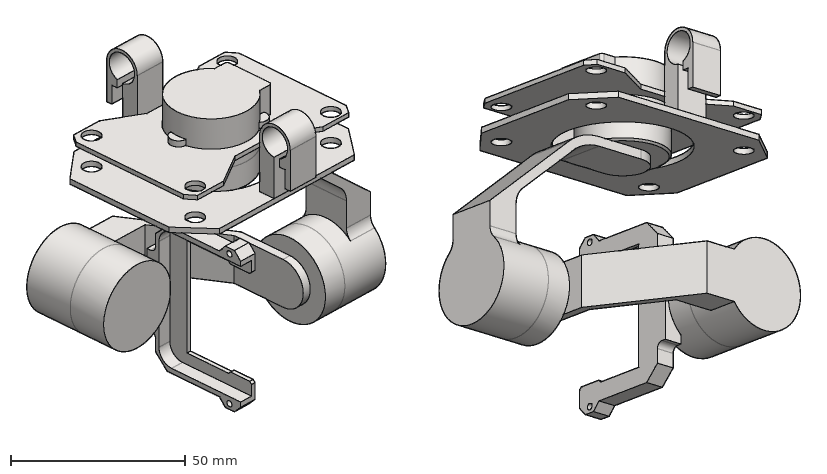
import cadquery as cq
import math


MOTOR_RADIUS = 28.0 / 2
ARM_HALF = 8.0
ARM_THICKNESS = 2.9
ARM_BLOCK = 10.1

YAW_BOTTOM = 51.3
YAW_TOP = 76.7
YAW_SPLIT = 59.8
YAW_EDGE_CHAMFER = 0.6
CONNECTOR_WIDTH = 17.7
CONNECTOR_REACH = 16.0
CONNECTOR_CORNER = 1.0
LUG_RADIUS = 3.0
LUG_HEIGHT = 2.1
LUG_CENTRE_RADIUS = 13.6
LUG_ANGLES = (45, 135, 270)

UPPER_PLATE_TOP = 66.6
UPPER_PLATE_THICKNESS = 1.5
LOWER_PLATE_TOP = 56.2
LOWER_PLATE_THICKNESS = 1.8
PLATE_HOLE_DIAMETER = 6.0
PLATE_HOLE_X = 20.4
PLATE_HOLE_Y = 28.3

UPPER_HALF_WIDTH = 24.4
UPPER_HALF_LENGTH = 34.0
UPPER_CORNER_X = 3.2
UPPER_CORNER_Y = 2.4
WAIST_HALF_WIDTH = 17.3
WAIST_HALF_LENGTH = 8.4
WAIST_ANGLE = 60
MOTOR_CLEARANCE_DIAMETER = 28.3

LOWER_HALF_WIDTH = 29.8
LOWER_HALF_LENGTH = 37.5
LOWER_CORNER_X = 11.1
LOWER_CORNER_Y = 9.3
LONG_CORNER_X = 9.5
LONG_CORNER_Y = 11.8
LOWER_BORE_DIAMETER = 41.0

CLIP_WIDTH = 10.7
CLIP_RADIUS = 6.1
CLIP_BORE_DIAMETER = 10.0
CLIP_AXIS_X = 30.2
CLIP_AXIS_Z = 75.1
CLIP_MOUTH = 2.2
HOOK_STEP_Z = 67.7
HOOK_TIP_Z = 61.3
HOOK_TIP_THICKNESS = 2.1

ROLL_BACK = 58.1
ROLL_FRONT = 32.9
ROLL_SPLIT = 41.0
YAW_ARM_KNEE_Z = 21.6
YAW_ARM_SLOPE = 40
YAW_ARM_TOP_BEND = 15.0
YAW_ARM_BLOCK_BEND = 7.0
YAW_ARM_FOOT_FILLET = 5.0

PITCH_AXIS_Y = -8.0
PITCH_OUTER = -52.0
PITCH_INNER = -21.6
PITCH_SPLIT = -34.8
ROLL_ARM_KNEE_Y = 14.0
ROLL_ARM_SLOPE = 30

CRADLE_BACK = 7.1
CRADLE_DEPTH = 6.1
CRADLE_WEB = 1.5
CRADLE_LEFT = -23.0
CRADLE_RIGHT = 10.6
CRADLE_HALF_HEIGHT = 24.4
CRADLE_CORNER = 4.7
EAR_HALF_HEIGHT = 27.0
EAR_FOOT_X = 2.2
EAR_TIP_START_X = 4.5
EAR_TIP_END_X = 8.1
EAR_HOLE_DIAMETER = 2.0
EAR_HOLE_X = 6.2
EAR_HOLE_Z = 25.1
RECESS_HALF_HEIGHT = 22.7
RECESS_CORNER = 5.0
OPENING_LEFT = -14.8
OPENING_HALF_HEIGHT = 18.8
PAD_HEIGHT = 0.8
PAD_LEFT = 1.5
BOSS_REACH = 3.4
BOSS_HALF_HEIGHT = 13.4
BOSS_FILLET = 2.0


def cylinder(plane, axis_point, radius, start, end):
    """Cylinder between two positions on the plane's normal, which for XZ points to -Y."""
    base = cq.Workplane(plane).workplane(offset=start)
    return base.center(*axis_point).circle(radius).extrude(end - start)


def slab(plane, points, start, end):
    """Closed outline extruded between two positions on the plane's normal."""
    return cq.Workplane(plane).workplane(offset=start).polyline(points).close().extrude(end - start)


def plate_holes(bottom, top):
    """Four corner holes shared by both plates, as solids to cut away."""
    centres = [(x, y) for x in (-PLATE_HOLE_X, PLATE_HOLE_X) for y in (-PLATE_HOLE_Y, PLATE_HOLE_Y)]
    base = cq.Workplane("XY").workplane(offset=bottom)
    return base.pushPoints(centres).circle(PLATE_HOLE_DIAMETER / 2).extrude(top - bottom)


def make_yaw_motor():
    bell = cylinder("XY", (0, 0), MOTOR_RADIUS, YAW_BOTTOM, YAW_SPLIT)
    bell = bell.faces("<Z").edges().chamfer(YAW_EDGE_CHAMFER)
    can = cylinder("XY", (0, 0), MOTOR_RADIUS, YAW_SPLIT, YAW_TOP)
    connector = (
        cq.Workplane("XY")
        .workplane(offset=UPPER_PLATE_TOP)
        .rect(CONNECTOR_WIDTH, 2 * CONNECTOR_REACH)
        .extrude(YAW_TOP - UPPER_PLATE_TOP)
        .edges("|Z")
        .fillet(CONNECTOR_CORNER)
    )
    back_half = cq.Workplane("XY").box(
        CONNECTOR_WIDTH, CONNECTOR_REACH, YAW_TOP, centered=(True, False, False)
    )
    can = can.union(connector.intersect(back_half))
    for angle in LUG_ANGLES:
        centre = (
            LUG_CENTRE_RADIUS * math.cos(math.radians(angle)),
            LUG_CENTRE_RADIUS * math.sin(math.radians(angle)),
        )
        can = can.union(cylinder("XY", centre, LUG_RADIUS, UPPER_PLATE_TOP, UPPER_PLATE_TOP + LUG_HEIGHT))
    return can.union(bell, clean=False)


def make_upper_plate():
    bottom = UPPER_PLATE_TOP - UPPER_PLATE_THICKNESS
    waist_depth = UPPER_HALF_WIDTH - WAIST_HALF_WIDTH
    shoulder = WAIST_HALF_LENGTH + waist_depth * math.tan(math.radians(WAIST_ANGLE))
    right_corner = [
        (WAIST_HALF_WIDTH, WAIST_HALF_LENGTH),
        (UPPER_HALF_WIDTH, shoulder),
        (UPPER_HALF_WIDTH, UPPER_HALF_LENGTH - UPPER_CORNER_Y),
        (UPPER_HALF_WIDTH - UPPER_CORNER_X, UPPER_HALF_LENGTH),
    ]
    right_side = [(x, -y) for x, y in reversed(right_corner)] + right_corner
    left_side = [(-x, y) for x, y in reversed(right_side)]
    plate = slab("XY", right_side + left_side, bottom, UPPER_PLATE_TOP)
    bore = cylinder("XY", (0, 0), MOTOR_CLEARANCE_DIAMETER / 2, bottom, UPPER_PLATE_TOP)
    return plate.cut(bore).cut(plate_holes(bottom, UPPER_PLATE_TOP))


def make_lower_plate():
    bottom = LOWER_PLATE_TOP - LOWER_PLATE_THICKNESS
    outline = [
        (LONG_CORNER_X - LOWER_HALF_WIDTH, -LOWER_HALF_LENGTH),
        (LOWER_HALF_WIDTH - LOWER_CORNER_X, -LOWER_HALF_LENGTH),
        (LOWER_HALF_WIDTH, LOWER_CORNER_Y - LOWER_HALF_LENGTH),
        (LOWER_HALF_WIDTH, LOWER_HALF_LENGTH - LOWER_CORNER_Y),
        (LOWER_HALF_WIDTH - LOWER_CORNER_X, LOWER_HALF_LENGTH),
        (LOWER_CORNER_X - LOWER_HALF_WIDTH, LOWER_HALF_LENGTH),
        (-LOWER_HALF_WIDTH, LOWER_HALF_LENGTH - LOWER_CORNER_Y),
        (-LOWER_HALF_WIDTH, LONG_CORNER_Y - LOWER_HALF_LENGTH),
    ]
    plate = slab("XY", outline, bottom, LOWER_PLATE_TOP)
    bore = cylinder("XY", (0, 0), LOWER_BORE_DIAMETER / 2, bottom, LOWER_PLATE_TOP)
    return plate.cut(bore).cut(plate_holes(bottom, LOWER_PLATE_TOP))


def make_clip(side):
    """Clip on the plate edge at +X (side = 1) or -X (side = -1), with its hook outward."""
    inner = CLIP_AXIS_X - CLIP_RADIUS
    outer = CLIP_AXIS_X + CLIP_RADIUS
    hook_inner = LOWER_HALF_WIDTH + CLIP_MOUTH
    tip_inner = outer - HOOK_TIP_THICKNESS
    profile = (
        cq.Workplane("XZ")
        .workplane(offset=-CLIP_WIDTH / 2)
        .moveTo(side * inner, LOWER_PLATE_TOP)
        .lineTo(side * inner, CLIP_AXIS_Z)
        .threePointArc((side * CLIP_AXIS_X, CLIP_AXIS_Z + CLIP_RADIUS), (side * outer, CLIP_AXIS_Z))
        .lineTo(side * outer, HOOK_TIP_Z)
        .lineTo(side * tip_inner, HOOK_TIP_Z)
        .lineTo(side * tip_inner, HOOK_STEP_Z)
        .lineTo(side * hook_inner, HOOK_STEP_Z)
        .lineTo(side * hook_inner, CLIP_AXIS_Z)
        .lineTo(side * LOWER_HALF_WIDTH, CLIP_AXIS_Z)
        .lineTo(side * LOWER_HALF_WIDTH, LOWER_PLATE_TOP)
        .close()
        .extrude(CLIP_WIDTH)
    )
    axis_point = (side * CLIP_AXIS_X, CLIP_AXIS_Z)
    bore = cylinder("XZ", axis_point, CLIP_BORE_DIAMETER / 2, -CLIP_WIDTH / 2, CLIP_WIDTH / 2)
    return profile.cut(bore)


def make_yaw_arm():
    """Bent strap from the yaw motor to the roll motor, in one piece with the roll motor."""
    slope = math.radians(YAW_ARM_SLOPE)
    block_front = ROLL_BACK - ARM_BLOCK
    strap_bottom = YAW_BOTTOM - ARM_THICKNESS
    outer_bend = (ROLL_BACK - (YAW_BOTTOM - YAW_ARM_KNEE_Z) / math.tan(slope), YAW_BOTTOM)
    inner_bend = (outer_bend[0] - ARM_THICKNESS * math.tan(slope / 2), strap_bottom)
    block_bend = (block_front, strap_bottom - (block_front - inner_bend[0]) * math.tan(slope))
    outline = [
        (0, YAW_BOTTOM),
        outer_bend,
        (ROLL_BACK, YAW_ARM_KNEE_Z),
        (ROLL_BACK, 0),
        (block_front, 0),
        block_bend,
        inner_bend,
        (0, strap_bottom),
    ]
    strap = slab("YZ", outline, -ARM_HALF, ARM_HALF)
    bends = [
        (outer_bend, YAW_ARM_TOP_BEND + ARM_THICKNESS),
        (inner_bend, YAW_ARM_TOP_BEND),
        (block_bend, YAW_ARM_BLOCK_BEND),
    ]
    for (y, z), radius in bends:
        strap = strap.edges(cq.selectors.NearestToPointSelector((0, y, z))).fillet(radius)
    round_end = cylinder("XY", (0, 0), ARM_HALF, strap_bottom, YAW_BOTTOM)

    fillet_x = ARM_HALF + YAW_ARM_FOOT_FILLET
    fillet_z = math.sqrt((MOTOR_RADIUS + YAW_ARM_FOOT_FILLET) ** 2 - fillet_x**2)
    tangent = MOTOR_RADIUS / (MOTOR_RADIUS + YAW_ARM_FOOT_FILLET)
    foot_outline = [
        (0, 0),
        (fillet_x * tangent, fillet_z * tangent),
        (fillet_x, fillet_z),
        (-fillet_x, fillet_z),
        (-fillet_x * tangent, fillet_z * tangent),
    ]
    foot = slab("XZ", foot_outline, -ROLL_BACK, -block_front)
    for side in (-1, 1):
        hollow = cylinder("XZ", (side * fillet_x, fillet_z), YAW_ARM_FOOT_FILLET, -ROLL_BACK, -block_front)
        foot = foot.cut(hollow)

    can = cylinder("XZ", (0, 0), MOTOR_RADIUS, -ROLL_BACK, -ROLL_SPLIT)
    bell = cylinder("XZ", (0, 0), MOTOR_RADIUS, -ROLL_SPLIT, -ROLL_FRONT)
    arm = strap.union(round_end).union(foot).union(can)
    return arm.union(bell, clean=False)


def make_roll_arm():
    """Bent strap from the roll motor to the pitch motor, in one piece with the pitch motor."""
    slope = math.radians(ROLL_ARM_SLOPE)
    block_inner = PITCH_OUTER + ARM_BLOCK
    strap_front = ROLL_FRONT - ARM_THICKNESS
    bend_x = PITCH_OUTER + (ROLL_FRONT - ROLL_ARM_KNEE_Y) / math.tan(slope)
    block_bend_y = strap_front - (bend_x - block_inner) * math.tan(slope)
    outline = [
        (0, ROLL_FRONT),
        (bend_x, ROLL_FRONT),
        (PITCH_OUTER, ROLL_ARM_KNEE_Y),
        (PITCH_OUTER, PITCH_AXIS_Y),
        (block_inner, PITCH_AXIS_Y),
        (block_inner, block_bend_y),
        (bend_x, strap_front),
        (0, strap_front),
    ]
    strap = slab("XY", outline, -ARM_HALF, ARM_HALF)
    round_end = cylinder("XZ", (0, 0), ARM_HALF, -ROLL_FRONT, -strap_front)
    can = cylinder("YZ", (PITCH_AXIS_Y, 0), MOTOR_RADIUS, PITCH_OUTER, PITCH_SPLIT)
    bell = cylinder("YZ", (PITCH_AXIS_Y, 0), MOTOR_RADIUS, PITCH_SPLIT, PITCH_INNER)
    arm = strap.union(round_end).union(can)
    return arm.union(bell, clean=False)


def make_cradle():
    """U-shaped frame with a raised rim, two drilled ears and the seat of the pitch motor."""
    front = CRADLE_BACK - CRADLE_DEPTH
    web_front = CRADLE_BACK - CRADLE_WEB
    boss_left = CRADLE_LEFT - BOSS_REACH
    upper_outline = [
        (boss_left, 0),
        (boss_left, BOSS_HALF_HEIGHT),
        (CRADLE_LEFT, BOSS_HALF_HEIGHT),
        (CRADLE_LEFT, CRADLE_HALF_HEIGHT - CRADLE_CORNER),
        (CRADLE_LEFT + CRADLE_CORNER, CRADLE_HALF_HEIGHT),
        (EAR_FOOT_X, CRADLE_HALF_HEIGHT),
        (EAR_TIP_START_X, EAR_HALF_HEIGHT),
        (EAR_TIP_END_X, EAR_HALF_HEIGHT),
        (CRADLE_RIGHT, CRADLE_HALF_HEIGHT),
        (CRADLE_RIGHT, OPENING_HALF_HEIGHT),
        (CRADLE_RIGHT - PAD_HEIGHT, OPENING_HALF_HEIGHT - PAD_HEIGHT),
        (PAD_LEFT + PAD_HEIGHT, OPENING_HALF_HEIGHT - PAD_HEIGHT),
        (PAD_LEFT, OPENING_HALF_HEIGHT),
        (OPENING_LEFT, OPENING_HALF_HEIGHT),
        (OPENING_LEFT, 0),
    ]
    upper_half = slab("XZ", upper_outline, -CRADLE_BACK, -front)
    boss_corner = (CRADLE_LEFT, (front + CRADLE_BACK) / 2, BOSS_HALF_HEIGHT)
    upper_half = upper_half.edges(cq.selectors.NearestToPointSelector(boss_corner)).fillet(BOSS_FILLET)

    recess_outline = [
        (PITCH_INNER, 0),
        (PITCH_INNER, RECESS_HALF_HEIGHT),
        (CRADLE_RIGHT, RECESS_HALF_HEIGHT),
        (CRADLE_RIGHT, 0),
    ]
    recess = slab("XZ", recess_outline, -web_front, -front)
    recess_corner = (PITCH_INNER, (front + web_front) / 2, RECESS_HALF_HEIGHT)
    recess = recess.edges(cq.selectors.NearestToPointSelector(recess_corner)).fillet(RECESS_CORNER)

    ear_hole = cylinder("XZ", (EAR_HOLE_X, EAR_HOLE_Z), EAR_HOLE_DIAMETER / 2, -CRADLE_BACK, -front)
    upper_half = upper_half.cut(recess).cut(ear_hole)
    frame = upper_half.union(upper_half.mirror("XY"))
    motor_seat = cylinder("YZ", (PITCH_AXIS_Y, 0), MOTOR_RADIUS, boss_left, PITCH_INNER)
    return frame.cut(motor_seat)


yaw_motor = make_yaw_motor()
upper_plate = make_upper_plate()
lower_plate = make_lower_plate()
clips = [make_clip(side) for side in (-1, 1)]
yaw_arm = make_yaw_arm()
roll_arm = make_roll_arm()
cradle = make_cradle()

result = cq.Compound.makeCompound(
    [
        yaw_motor.val(),
        upper_plate.val(),
        lower_plate.val(),
        *[clip.val() for clip in clips],
        yaw_arm.val(),
        roll_arm.val(),
        cradle.val(),
    ]
)